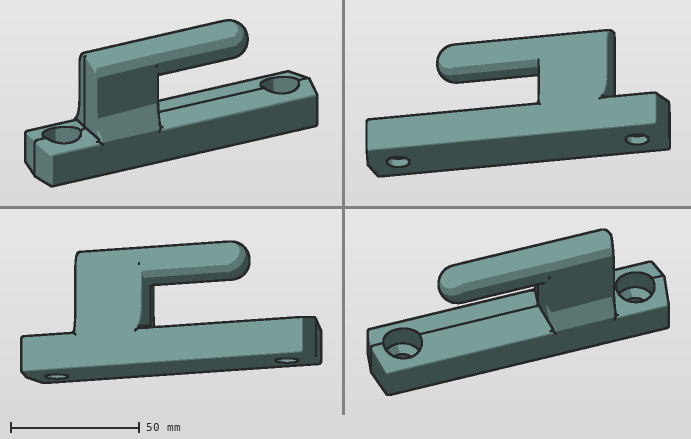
import cadquery as cq
import math

BASE_LENGTH = 120.0
BASE_WIDTH = 24.0
RIDGE_HEIGHT = 16.3
RIDGE_X = 1.4
SLOPE_ANGLE = 10.0

TOTAL_HEIGHT = 48.5
FINGER_DIAMETER = 15.0
FINGER_X = 1.2
FINGER_TIP_Y = 32.2

POST_FRONT_Y = -38.3
POST_LENGTH = 30.0
LEFT_FLARE_TOP_Z = 26.3
LEFT_FLARE_RADIUS = 15.0
RIGHT_FLARE_TOP_Z = 25.5
RIGHT_FLARE_RADIUS = 19.0

HOLE_SPACING = 95.0
BORE_DIAMETER = 15.0
THROUGH_DIAMETER = 9.0
SEAT_TOP_Z = 6.6
SEAT_ANGLE = 90.0

EDGE_FILLET = 1.2
POST_SIDE_FILLET = 2.4
FOOT_FILLET = 1.0
COVE_OVERLAP = 0.4
TOLERANCE = 0.01

SLOPE = math.tan(math.radians(SLOPE_ANGLE))
HALF_WIDTH = BASE_WIDTH / 2
FINGER_RADIUS = FINGER_DIAMETER / 2
FINGER_Z = TOTAL_HEIGHT - FINGER_RADIUS
POST_BACK_Y = POST_FRONT_Y + POST_LENGTH
POST_MIDDLE_Y = (POST_FRONT_Y + POST_BACK_Y) / 2
POST_BOTTOM_Z = RIDGE_HEIGHT / 2
LEFT_DROP = (RIDGE_X + HALF_WIDTH) * SLOPE
RIGHT_DROP = (HALF_WIDTH - RIDGE_X) * SLOPE


def pointed_prism(front_y, back_y, height):
    """Upright prism of full base width whose two ends come to a point on the ridge plane."""
    return (
        cq.Workplane("XY")
        .moveTo(RIDGE_X, front_y)
        .lineTo(HALF_WIDTH, front_y + RIGHT_DROP)
        .lineTo(HALF_WIDTH, back_y - RIGHT_DROP)
        .lineTo(RIDGE_X, back_y)
        .lineTo(-HALF_WIDTH, back_y - LEFT_DROP)
        .lineTo(-HALF_WIDTH, front_y + LEFT_DROP)
        .close()
        .extrude(height)
    )


def cross_section():
    return cq.Workplane("XZ", origin=(0, BASE_LENGTH / 2, 0))


def make_base():
    gable = (
        cross_section()
        .moveTo(-HALF_WIDTH, 0)
        .lineTo(HALF_WIDTH, 0)
        .lineTo(HALF_WIDTH, RIDGE_HEIGHT - RIGHT_DROP)
        .lineTo(RIDGE_X, RIDGE_HEIGHT)
        .lineTo(-HALF_WIDTH, RIDGE_HEIGHT - LEFT_DROP)
        .close()
        .extrude(BASE_LENGTH)
    )
    return pointed_prism(-BASE_LENGTH / 2, BASE_LENGTH / 2, RIDGE_HEIGHT).intersect(gable)


def flare_point(wall_x, side, radius, top_z, reach):
    """Point on a flare arc that leaves the upright wall at top_z, at a sideways distance reach."""
    drop = math.sqrt(radius**2 - (radius - reach) ** 2)
    return (wall_x + side * reach, top_z - drop)


def make_post():
    left_wall = FINGER_X - FINGER_RADIUS
    right_wall = FINGER_X + FINGER_RADIUS
    left_flare = (left_wall, -1, LEFT_FLARE_RADIUS, LEFT_FLARE_TOP_Z)
    right_flare = (right_wall, 1, RIGHT_FLARE_RADIUS, RIGHT_FLARE_TOP_Z)
    left_reach = left_wall + HALF_WIDTH
    right_reach = HALF_WIDTH - right_wall
    profile = (
        cross_section()
        .moveTo(-HALF_WIDTH, POST_BOTTOM_Z)
        .lineTo(HALF_WIDTH, POST_BOTTOM_Z)
        .lineTo(*flare_point(*right_flare, right_reach))
        .threePointArc(flare_point(*right_flare, right_reach / 4), (right_wall, RIGHT_FLARE_TOP_Z))
        .lineTo(right_wall, FINGER_Z)
        .threePointArc((FINGER_X, TOTAL_HEIGHT), (left_wall, FINGER_Z))
        .lineTo(left_wall, LEFT_FLARE_TOP_Z)
        .threePointArc(flare_point(*left_flare, left_reach / 4), flare_point(*left_flare, left_reach))
        .close()
        .extrude(BASE_LENGTH)
    )
    return pointed_prism(POST_FRONT_Y, POST_BACK_Y, TOTAL_HEIGHT).intersect(profile)


def is_ridge(edge):
    return abs(edge.Center().x - RIDGE_X) < TOLERANCE


def runs_along_post(edge):
    return abs(edge.Center().y - POST_MIDDLE_Y) < TOLERANCE


def is_post_side(edge):
    """True for the two edges where the flares meet the upright sides of the post."""
    z = edge.Center().z
    return runs_along_post(edge) and POST_BOTTOM_Z + TOLERANCE < z < RIDGE_HEIGHT


def is_post_outline(edge):
    """True for the edges round both end faces of the post."""
    on_underside = edge.Center().z < POST_BOTTOM_Z + TOLERANCE
    return not (is_ridge(edge) or runs_along_post(edge) or on_underside)


def round_edges(body, wanted, radius):
    edges = [edge for edge in body.edges().vals() if wanted(edge)]
    return body.newObject(edges).fillet(radius)


def make_finger():
    """Bar from the middle of the post to the domed tip."""
    dome_y = FINGER_TIP_Y - FINGER_RADIUS
    bar = (
        cq.Workplane("XZ", origin=(FINGER_X, dome_y, FINGER_Z))
        .circle(FINGER_RADIUS)
        .extrude(dome_y - POST_MIDDLE_Y)
    )
    dome = cq.Workplane("XY", origin=(FINGER_X, dome_y, FINGER_Z)).sphere(FINGER_RADIUS)
    return bar.union(dome)


def is_finger_root(edge):
    center = edge.Center()
    below_axis = FINGER_Z - FINGER_RADIUS < center.z < FINGER_Z
    near_back_face = abs(center.y - POST_BACK_Y) < FINGER_RADIUS * SLOPE
    return edge.geomType() == "ELLIPSE" and below_axis and near_back_face


def foot_cove(side, end):
    """Concave fillet between the roof and one half of an end face of the post.

    side is 1 toward +X or -1 toward -X; end is 1 for the back face or -1 for the front face.
    """
    end_y = POST_BACK_Y if end > 0 else POST_FRONT_Y
    seam = cq.Vector(side, -end * SLOPE, -SLOPE)
    roof_normal = cq.Vector(side * SLOPE, 0, 1)
    away_from_post = seam.cross(roof_normal) * (-side * end)
    profile_plane = cq.Plane(
        origin=(RIDGE_X, end_y, RIDGE_HEIGHT),
        xDir=away_from_post,
        normal=seam * (side * end),
    )
    middle = FOOT_FILLET * (1 - math.sqrt(0.5))
    strip = (
        cq.Workplane(profile_plane)
        .moveTo(-COVE_OVERLAP, -COVE_OVERLAP)
        .lineTo(FOOT_FILLET, -COVE_OVERLAP)
        .lineTo(FOOT_FILLET, 0)
        .threePointArc((middle, middle), (0, FOOT_FILLET))
        .lineTo(-COVE_OVERLAP, FOOT_FILLET)
        .close()
        .extrude(BASE_WIDTH, both=True)
    )
    outer_x = side * (HALF_WIDTH - EDGE_FILLET)
    half_space = cq.Workplane("XY", origin=((RIDGE_X + outer_x) / 2, end_y, RIDGE_HEIGHT)).box(
        abs(outer_x - RIDGE_X), BASE_WIDTH, BASE_WIDTH
    )
    return strip.intersect(half_space)


def screw_hole(y):
    """Cutter: through hole, conical seat above it, then a bore open to the roof."""
    bore_radius = BORE_DIAMETER / 2
    through_radius = THROUGH_DIAMETER / 2
    seat_depth = (bore_radius - through_radius) / math.tan(math.radians(SEAT_ANGLE / 2))
    return (
        cq.Workplane("XZ", origin=(0, y, 0))
        .lineTo(through_radius, 0)
        .lineTo(through_radius, SEAT_TOP_Z - seat_depth)
        .lineTo(bore_radius, SEAT_TOP_Z)
        .lineTo(bore_radius, RIDGE_HEIGHT)
        .lineTo(0, RIDGE_HEIGHT)
        .close()
        .revolve(360, (0, 0, 0), (0, 1, 0))
    )


base = round_edges(make_base(), lambda edge: not is_ridge(edge), EDGE_FILLET)

post = round_edges(make_post(), is_post_side, POST_SIDE_FILLET)
post = round_edges(post, is_post_outline, EDGE_FILLET)

result = base.union(post).union(make_finger())
result = round_edges(result, is_finger_root, FOOT_FILLET)
for side in (-1, 1):
    for end in (-1, 1):
        result = result.union(foot_cove(side, end))

for hole_y in (-HOLE_SPACING / 2, HOLE_SPACING / 2):
    result = result.cut(screw_hole(hole_y))